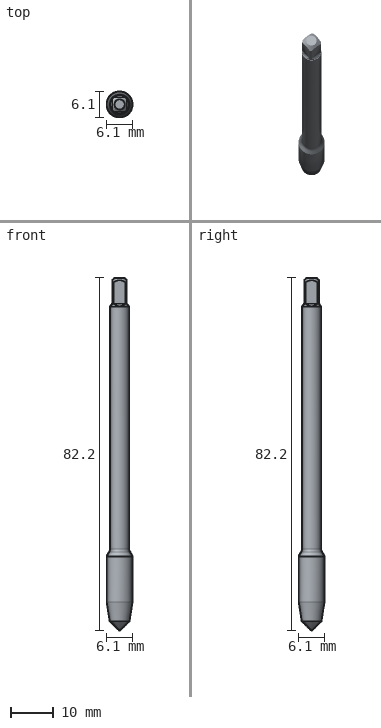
import cadquery as cq

total_length = 82.2
point_height = 2.3
taper_top = 6.7
head_top = 17.3
shoulder_bottom = 17.4
shoulder_top = 18.7
shank_top = 75.45
flat_bottom = 76.2

head_diameter = 6.1
taper_end_diameter = 4.7
shank_diameter = 4.5
drive_corner_diameter = 4.35
drive_top_diameter = 2.4

shoulder_blend_radius = 1.3

drive_width = 3.45
runout_depth = 0.6

head_radius = head_diameter / 2
shank_radius = shank_diameter / 2
drive_corner_radius = drive_corner_diameter / 2
drive_top_radius = drive_top_diameter / 2
drive_chamfer = drive_corner_radius - drive_top_radius

selection_margin = 0.1


def make_cutting_head():
    """Conical point, tapered lead and full-diameter cylinder, about the Z axis."""
    return (
        cq.Workplane("XZ")
        .moveTo(0, 0)
        .lineTo(taper_end_diameter / 2, point_height)
        .lineTo(head_radius, taper_top)
        .lineTo(head_radius, head_top)
        .lineTo(0, head_top)
        .close()
        .revolve(360, (0, 0), (0, 1))
    )


def make_round_shank():
    """Conical shoulder blending into the long round shank."""
    turned_shank = (
        cq.Workplane("XZ")
        .moveTo(0, head_top)
        .lineTo(head_radius, head_top)
        .lineTo(head_radius, shoulder_bottom)
        .lineTo(shank_radius, shoulder_top)
        .lineTo(shank_radius, shank_top)
        .lineTo(0, shank_top)
        .close()
        .revolve(360, (0, 0), (0, 1))
    )
    shoulder_edge = cq.selectors.BoxSelector(
        (-head_radius, -head_radius, shoulder_top - selection_margin),
        (head_radius, head_radius, shoulder_top + selection_margin),
        boundingbox=True,
    )
    return turned_shank.edges(shoulder_edge).fillet(shoulder_blend_radius)


def make_square_drive():
    """Turned, chamfered cylinder with four flats that slope outward at the bottom."""
    turned_blank = (
        cq.Workplane("XY", origin=(0, 0, shank_top))
        .circle(drive_corner_radius)
        .extrude(total_length - shank_top)
        .faces(">Z")
        .chamfer(drive_chamfer)
    )
    runout_width = drive_width + 2 * runout_depth
    flared_square = (
        cq.Workplane("XY", origin=(0, 0, shank_top))
        .rect(runout_width, runout_width)
        .workplane(offset=flat_bottom - shank_top)
        .rect(drive_width, drive_width)
        .loft(ruled=True)
        .faces(">Z")
        .workplane()
        .rect(drive_width, drive_width)
        .extrude(total_length - flat_bottom)
    )
    return turned_blank.intersect(flared_square)


cutting_head = make_cutting_head()
shank = make_round_shank().union(make_square_drive())

result = cq.Compound.makeCompound([cutting_head.val(), shank.val()])